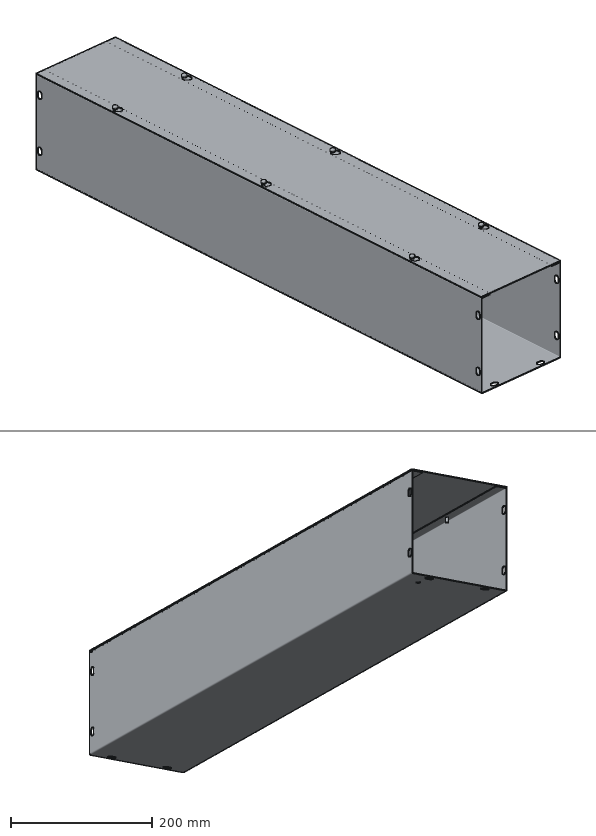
import cadquery as cq

length = 914.0
width = 155.0
overall_height = 161.0
sheet = 1.6

trough_height = 155.0
bend_radius = 2.3
lip_width = 17.0

slot_length = 13.0
slot_width = 8.0
slot_inset = 7.0
slot_spacing = 90.5
slot_angle = 90
slot_rise = 1.0

floor_hole_diameter = 6.3
floor_hole_inset = 30.0
floor_hole_y = 50.0

screws_per_row = 3
screw_pitch = length / screws_per_row
screw_row_y = 68.0
shank_diameter = 5.0
shank_reach = 7.0
head_diameter = 8.0
head_edge_radius = 2.0

cover_end_gap = 0.5

keyhole_diameter = 14.0
keyhole_neck_width = shank_diameter
keyhole_offset = 5.5

trough_top = trough_height / 2
trough_bottom = -trough_height / 2
cover_top = trough_top + sheet
head_height = overall_height - trough_height - sheet

screw_points = [
    (screw_pitch * (i - (screws_per_row - 1) / 2), y)
    for i in range(screws_per_row)
    for y in (-screw_row_y, screw_row_y)
]


def make_channel():
    """Bent sheet with a floor, two walls and two inward lips."""
    outside = cq.Workplane("XY").box(length, width, trough_height)
    outside = outside.edges("|X").fillet(bend_radius)
    inner_width = width - 2 * sheet
    inner_height = trough_height - 2 * sheet
    inside = cq.Workplane("XY").box(length, inner_width, inner_height)
    inside = inside.edges("|X").fillet(bend_radius - sheet)
    opening = (
        cq.Workplane("XY")
        .workplane(offset=trough_top - sheet)
        .rect(length, width - 2 * lip_width)
        .extrude(sheet)
    )
    return outside.cut(inside).cut(opening)


def make_end_slots():
    """Cutters for the slots through both walls and the floor at both ends."""
    slot_x = length / 2 - slot_inset
    slot_points = [
        (x, across)
        for x in (-slot_x, slot_x)
        for across in (-slot_spacing / 2, slot_spacing / 2)
    ]
    wall_slots = (
        cq.Workplane("XZ")
        .center(0, slot_rise)
        .pushPoints(slot_points)
        .slot2D(slot_length, slot_width, slot_angle)
        .extrude(width / 2, both=True)
    )
    floor_slots = (
        cq.Workplane("XY")
        .workplane(offset=trough_bottom)
        .pushPoints(slot_points)
        .slot2D(slot_length, slot_width, slot_angle)
        .extrude(sheet)
    )
    return wall_slots, floor_slots


def make_trough():
    """Channel with its end slots, one floor hole and a hole for each screw."""
    wall_slots, floor_slots = make_end_slots()
    floor_hole = (
        cq.Workplane("XY")
        .workplane(offset=trough_bottom)
        .center(floor_hole_inset - length / 2, floor_hole_y)
        .circle(floor_hole_diameter / 2)
        .extrude(sheet)
    )
    screw_holes = (
        cq.Workplane("XY")
        .workplane(offset=trough_top - sheet)
        .pushPoints(screw_points)
        .circle(shank_diameter / 2)
        .extrude(sheet)
    )
    return make_channel().cut(wall_slots).cut(floor_slots).cut(floor_hole).cut(screw_holes)


def make_keyhole(x, y):
    """Cutter with its narrow end round the screw axis and its wide end toward +X."""
    plane = cq.Workplane("XY").workplane(offset=trough_top).center(x, y)
    narrow_end = plane.circle(keyhole_neck_width / 2).extrude(sheet)
    wide_end = plane.center(keyhole_offset, 0).circle(keyhole_diameter / 2).extrude(sheet)
    neck = (
        plane.center(keyhole_offset / 2, 0)
        .rect(keyhole_offset, keyhole_neck_width)
        .extrude(sheet)
    )
    return narrow_end.union(neck).union(wide_end)


def make_cover():
    """Flat plate lying on the trough, with a keyhole at each screw."""
    cover = (
        cq.Workplane("XY")
        .workplane(offset=trough_top)
        .rect(length - 2 * cover_end_gap, width)
        .extrude(sheet)
    )
    for x, y in screw_points:
        cover = cover.cut(make_keyhole(x, y))
    return cover


def make_screw(x, y):
    """Round-edged head on the cover, with a shank down through cover and lip."""
    plane = cq.Workplane("XY").workplane(offset=cover_top).center(x, y)
    head = plane.circle(head_diameter / 2).extrude(head_height)
    head = head.faces(">Z").edges().fillet(head_edge_radius)
    shank = plane.circle(shank_diameter / 2).extrude(-(2 * sheet + shank_reach))
    return head.union(shank)


trough = make_trough()
cover = make_cover()
screws = [make_screw(x, y).val() for x, y in screw_points]

result = cq.Compound.makeCompound([trough.val(), cover.val(), *screws])